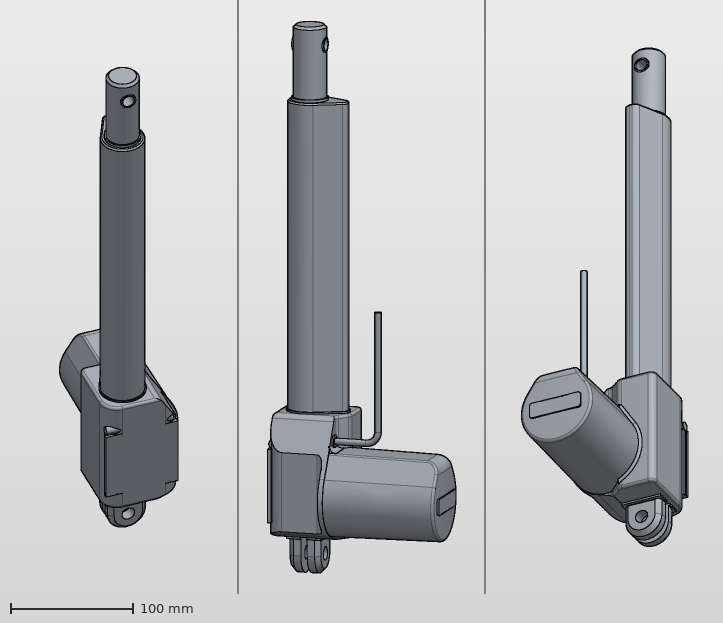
import cadquery as cq
import math

overall_height = 457.5
joint = 1.0

rod_radius = 13.5
rod_top_chamfer = 2.5
rod_hole_z = 441.0
bushing_radius = 6.5
bushing_bore_radius = 5.0

tube_radius = 18.5
tube_tip_x = -33.0
tube_tip_fillet = 5.5
tube_flank_angle = 115.0
tube_top_z = 395.0
tube_top_chamfer = 1.5
rod_collar_radius = 15.0
rod_collar_height = 2.5
tube_collar_margin = 1.15
tube_collar_height = 1.5

box_left_x = -38.0
box_right_x = 24.2
box_front_y = -24.0
box_back_y = 41.0
box_shoulder_y = 24.0
box_lower_corner_y = 18.0
ramp_start_y = 8.5
ramp_end_y = 20.0
box_bottom_z = 32.5
box_top_z = 136.0
box_edge_fillet = 2.5
box_shoulder_fillet = 7.5
front_left_fillet = 5.5
front_right_fillet = 14.5
back_right_fillet = 13.0
ramp_fillet = 7.5
motor_mount_x = -28.5
mount_back_x = -24.2

motor_y = 23.5
motor_z = 70.5
motor_radius = 34.0
motor_flank_angle = 33.0
motor_flat_z = 108.5
motor_end_x = -124.0
motor_dome_radius = 411.8
motor_draft_angle = 0.8
motor_nose_fillet = 11.0
motor_end_fillet = 2.5
motor_root_flare = 4.0
motor_root_length = 2.5
mount_radius = 34.5
mount_step_fillet = 5.5
root_cove_radius = 5.5
root_cove_back_y = 37.5
mount_lower_angle = -75.0
label_width = 46.5
label_height = 13.5
label_thickness = 1.0
label_root = 2.0
label_corner = 2.5

cable_radius = 2.7
cable_x = -66.5
cable_y = 26.0
cable_z = 116.0
cable_top_z = 226.0
cable_bend_radius = 10.0
boot_radius = 5.0
boot_length = 1.5

plate_thickness = 3.0
plate_back_y = 39.5
plate_bottom_z = 47.5
backing_thickness = 2.7
backing_front_y = -23.0
backing_back_y = 35.5
bead_radius = 3.5
bead_z = 112.5

clevis_half_x = 13.3
clevis_radius = 16.5
clevis_hole_z = clevis_radius
clevis_hole_radius = 5.5
clevis_slot = 5.5
clevis_chamfer = 4.0
clevis_flange_margin = 1.5
clevis_flange_height = 2.0


def polar(center, radius, degrees):
    angle = math.radians(degrees)
    return (center[0] + radius * math.cos(angle), center[1] + radius * math.sin(angle))


def x_cylinder(radius, y, z, x_start, x_end):
    plane = cq.Workplane("YZ", origin=(x_start, y, z))
    return plane.circle(radius).extrude(x_end - x_start)


def z_cylinder(radius, z_start, z_end):
    return cq.Workplane(origin=(0, 0, z_start)).circle(radius).extrude(z_end - z_start)


def tube_prism(margin, z_start, z_end):
    """Teardrop prism: a round back and two tangent flanks meeting a narrow flat."""
    radius = tube_radius + margin
    tip_x = tube_tip_x - margin
    tangent_x, tangent_y = polar((0, 0), radius, tube_flank_angle)
    flank_slope = -1 / math.tan(math.radians(tube_flank_angle))
    tip_y = tangent_y - (tangent_x - tip_x) * flank_slope
    prism = (
        cq.Workplane(origin=(0, 0, z_start))
        .moveTo(tip_x, -tip_y)
        .lineTo(tangent_x, -tangent_y)
        .threePointArc((radius, 0), (tangent_x, tangent_y))
        .lineTo(tip_x, tip_y)
        .close()
        .extrude(z_end - z_start)
    )
    return prism.edges("|Z and <X").fillet(tube_tip_fillet + margin)


def make_rod():
    rod = z_cylinder(rod_radius, tube_top_z - joint, overall_height).faces(">Z").chamfer(rod_top_chamfer)
    bushing = x_cylinder(bushing_radius, 0, rod_hole_z, -rod_radius, rod_radius)
    bore = x_cylinder(bushing_bore_radius, 0, rod_hole_z, -rod_radius, rod_radius)
    return rod.union(bushing).cut(bore)


def make_tube():
    tube = tube_prism(0, box_top_z - joint, tube_top_z).faces(">Z").chamfer(tube_top_chamfer)
    lower_collar = tube_prism(tube_collar_margin, box_top_z - joint, box_top_z + tube_collar_height)
    rod_collar = z_cylinder(rod_collar_radius, tube_top_z - joint, tube_top_z + rod_collar_height)
    return tube.union(lower_collar).union(rod_collar)


def make_gearbox():
    """Housing: a side profile that wraps the motor mount, trimmed by the plan outline."""
    center = (motor_y, motor_z)
    shoulder = cq.selectors.NearestToPointSelector((0, box_shoulder_y, box_top_z))
    profile = (
        cq.Workplane("YZ", origin=(box_left_x, 0, 0))
        .moveTo(box_front_y, box_bottom_z)
        .lineTo(box_lower_corner_y, box_bottom_z)
        .lineTo(*polar(center, mount_radius, mount_lower_angle))
        .threePointArc(polar(center, mount_radius, 0), polar(center, mount_radius, motor_flank_angle))
        .lineTo(box_shoulder_y, box_top_z)
        .lineTo(box_front_y, box_top_z)
        .close()
        .extrude(box_right_x - box_left_x)
        .edges(shoulder)
        .fillet(box_shoulder_fillet)
    )
    mount_limit_y = motor_y + 2 * mount_radius
    plan = (
        cq.Workplane(origin=(0, 0, box_bottom_z))
        .moveTo(box_left_x, box_front_y)
        .lineTo(box_right_x, box_front_y)
        .lineTo(box_right_x, box_back_y)
        .lineTo(motor_mount_x, box_back_y)
        .lineTo(motor_mount_x, ramp_end_y)
        .lineTo(box_left_x, ramp_start_y)
        .close()
        .extrude(box_top_z - box_bottom_z)
    )
    corner_fillets = (
        (box_right_x, box_front_y, front_right_fillet),
        (box_right_x, box_back_y, back_right_fillet),
        (box_left_x, box_front_y, front_left_fillet),
        (motor_mount_x, ramp_end_y, ramp_fillet),
        (box_left_x, ramp_start_y, ramp_fillet),
    )
    for x, y, radius in corner_fillets:
        corner = cq.selectors.NearestToPointSelector((x, y, box_top_z / 2))
        plan = plan.edges("|Z").edges(corner).fillet(radius)
    plan = plan.faces("<Z or >Z").edges().fillet(box_edge_fillet)
    mount_start_y = (box_shoulder_y + box_back_y) / 2
    mount = cq.Workplane(origin=(motor_mount_x, mount_start_y, box_bottom_z)).box(
        mount_back_x - motor_mount_x,
        mount_limit_y - mount_start_y,
        box_top_z - box_bottom_z,
        centered=False,
    )
    step = cq.selectors.NearestToPointSelector((mount_back_x, box_back_y, motor_z))
    plan = plan.union(mount).edges(step).fillet(mount_step_fillet)
    return profile.intersect(plan)


def motor_outline(x, radius):
    """Motor section: a round belly with two tangent flanks rising to a flat top."""
    center = (motor_y, motor_z)
    right = polar(center, radius, motor_flank_angle)
    left = polar(center, radius, 180 - motor_flank_angle)
    flat_z = motor_flat_z + radius - motor_radius
    flank_run = (flat_z - right[1]) * math.tan(math.radians(motor_flank_angle))
    return (
        cq.Workplane("YZ", origin=(x, 0, 0))
        .moveTo(left[0] + flank_run, flat_z)
        .lineTo(*left)
        .threePointArc(polar(center, radius, -90), right)
        .lineTo(right[0] - flank_run, flat_z)
        .close()
    )


def make_motor():
    body = motor_outline(mount_back_x, motor_radius).extrude(
        motor_end_x - mount_back_x, taper=motor_draft_angle
    )
    dome_center = (motor_end_x + motor_dome_radius, motor_y, motor_z)
    body = body.intersect(cq.Workplane(origin=dome_center).sphere(motor_dome_radius))
    body = body.faces("<X").edges(">Z").fillet(motor_nose_fillet)
    body = body.faces("<X").edges().fillet(motor_end_fillet)
    flare_taper = math.degrees(math.atan2(motor_root_flare, motor_root_length))
    flare = motor_outline(box_left_x + joint, motor_radius + motor_root_flare).extrude(
        -motor_root_length - joint, taper=flare_taper
    )
    flare_side = cq.Workplane(origin=(box_left_x, ramp_start_y - motor_radius, motor_z)).box(
        4 * motor_root_flare, 2 * motor_radius, 4 * motor_radius
    )
    label = (
        cq.Workplane("YZ", origin=(motor_end_x + label_root, motor_y, motor_z))
        .rect(label_width, label_height)
        .extrude(-label_thickness - label_root)
        .edges("|X")
        .fillet(label_corner)
    )
    return body.union(flare.intersect(flare_side)).union(label)


def make_root_cove():
    """Concave rounding where the flat top of the motor meets the gearbox face."""
    outer_x = motor_mount_x - root_cove_radius
    top_z = motor_flat_z + root_cove_radius
    arc_middle = polar((outer_x, top_z), root_cove_radius, -45)
    return (
        cq.Workplane("XZ", origin=(0, ramp_start_y, 0))
        .moveTo(outer_x, motor_flat_z - joint)
        .lineTo(outer_x, motor_flat_z)
        .threePointArc(arc_middle, (motor_mount_x, top_z))
        .lineTo(motor_mount_x + joint, top_z)
        .lineTo(motor_mount_x + joint, motor_flat_z - joint)
        .close()
        .extrude(ramp_start_y - root_cove_back_y)
    )


def make_cable():
    bend_end_x = cable_x + cable_bend_radius
    bend_start_z = cable_z + cable_bend_radius
    bend_middle = polar((bend_end_x, bend_start_z), cable_bend_radius, 225)
    path = (
        cq.Workplane("XZ", origin=(0, cable_y, 0))
        .moveTo(cable_x, cable_top_z)
        .lineTo(cable_x, bend_start_z)
        .threePointArc(bend_middle, (bend_end_x, cable_z))
        .lineTo(motor_mount_x + joint, cable_z)
    )
    cable = cq.Workplane(origin=(cable_x, cable_y, cable_top_z)).circle(cable_radius).sweep(path)
    boot = x_cylinder(boot_radius, cable_y, cable_z, motor_mount_x - boot_length, motor_mount_x + joint)
    return cable.union(boot)


def upright_plate(thickness, front_y, back_y):
    return cq.Workplane(origin=(box_right_x - thickness, front_y, plate_bottom_z)).box(
        thickness, back_y - front_y, bead_z - bead_radius - plate_bottom_z, centered=False
    )


def make_cover_plate():
    plate = upright_plate(plate_thickness, box_front_y, plate_back_y)
    backing = upright_plate(plate_thickness + backing_thickness, backing_front_y, backing_back_y)
    bead = (
        cq.Workplane("XZ", origin=(box_right_x - bead_radius, backing_front_y, bead_z))
        .circle(bead_radius)
        .extrude(backing_front_y - backing_back_y)
    )
    return plate.union(backing).union(bead)


def make_clevis():
    top_z = box_bottom_z + joint
    lug = (
        cq.Workplane("YZ", origin=(-clevis_half_x, 0, 0))
        .moveTo(-clevis_radius, top_z)
        .lineTo(-clevis_radius, clevis_hole_z)
        .threePointArc((0, 0), (clevis_radius, clevis_hole_z))
        .lineTo(clevis_radius, top_z)
        .close()
        .extrude(2 * clevis_half_x)
        .faces("<X or >X")
        .chamfer(clevis_chamfer)
    )
    flange = cq.Workplane(origin=(0, 0, box_bottom_z - clevis_flange_height)).box(
        2 * (clevis_half_x + clevis_flange_margin),
        2 * (clevis_radius + clevis_flange_margin),
        clevis_flange_height + joint,
        centered=(True, True, False),
    )
    slot = cq.Workplane().box(clevis_slot, 4 * clevis_radius, 2 * box_bottom_z)
    hole = x_cylinder(clevis_hole_radius, 0, clevis_hole_z, -clevis_half_x, clevis_half_x)
    return lug.union(flange).cut(slot).cut(hole)


result = (
    make_gearbox()
    .union(make_cover_plate())
    .union(make_motor())
    .union(make_root_cove())
    .union(make_cable())
    .union(make_clevis())
    .union(make_tube())
    .union(make_rod())
)